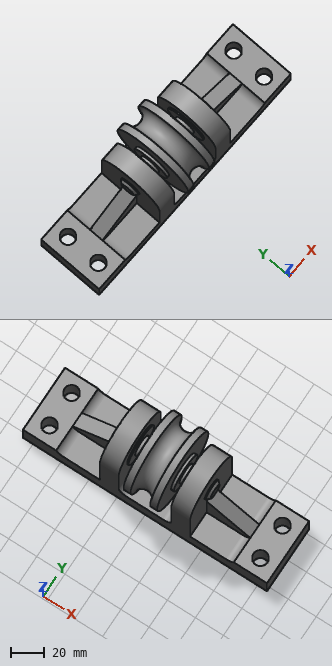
import cadquery as cq
import math

BASE_LENGTH = 174.0
BRACKET_WIDTH = 46.0
BASE_HEIGHT = 18.0
FLOOR_HEIGHT = 14.1
RECESS_HALF_LENGTH = 63.3
CORNER_RADIUS = 6.0

MOUNT_HOLE_DIAMETER = 10.0
MOUNT_HOLE_X = 75.2
MOUNT_HOLE_Y = 12.0

AXLE_HEIGHT = 50.0
CHEEK_INNER_X = 18.6
CHEEK_OUTER_X = 32.2
BOSS_DIAMETER = 28.0
BOSS_FACE_X = 17.5

RIB_WIDTH = 10.0
RIB_TOP_HEIGHT = 38.0

AXLE_DIAMETER = 14.0
AXLE_HALF_LENGTH = 35.0
AXLE_END_DIAMETER = 10.0
AXLE_CHAMFER = (AXLE_DIAMETER - AXLE_END_DIAMETER) / 2

WHEEL_DIAMETER = 56.0
WHEEL_HALF_WIDTH = 12.0
GROOVE_RADIUS = 7.0
HUB_DIAMETER = 26.0
HUB_HALF_WIDTH = 14.1

SIDES = (-1, 1)
SELECT_MARGIN = 0.2


def x_cylinder(diameter, x_start, x_end):
    """Cylinder on the axle line, from one X position to another."""
    return (
        cq.Workplane("YZ", origin=(x_start, 0, AXLE_HEIGHT))
        .circle(diameter / 2)
        .extrude(x_end - x_start)
    )


def make_cheek(side):
    """Round-topped upright with a thin boss on its inner face."""
    half_width = BRACKET_WIDTH / 2
    cheek = (
        cq.Workplane("YZ", origin=(side * CHEEK_INNER_X, 0, 0))
        .moveTo(-half_width, 0)
        .lineTo(half_width, 0)
        .lineTo(half_width, AXLE_HEIGHT)
        .threePointArc((0, AXLE_HEIGHT + half_width), (-half_width, AXLE_HEIGHT))
        .close()
        .extrude(side * (CHEEK_OUTER_X - CHEEK_INNER_X))
    )
    return cheek.union(x_cylinder(BOSS_DIAMETER, side * BOSS_FACE_X, side * CHEEK_OUTER_X))


def make_rib(side):
    """Sloping rib from the outer face of a cheek to the edge of the end recess."""
    return (
        cq.Workplane("XZ", origin=(0, RIB_WIDTH / 2, 0))
        .moveTo(side * CHEEK_OUTER_X, 0)
        .lineTo(side * CHEEK_OUTER_X, RIB_TOP_HEIGHT)
        .lineTo(side * RECESS_HALF_LENGTH, BASE_HEIGHT)
        .lineTo(side * RECESS_HALF_LENGTH, 0)
        .close()
        .extrude(RIB_WIDTH)
    )


def make_base():
    """Base plate with a sunken floor whose two ends curve up to the top face."""
    arc_center_z = FLOOR_HEIGHT + CORNER_RADIUS
    arc_length_x = math.sqrt(CORNER_RADIUS**2 - (arc_center_z - BASE_HEIGHT) ** 2)
    floor_half_length = RECESS_HALF_LENGTH - arc_length_x
    half_angle = math.asin(arc_length_x / CORNER_RADIUS) / 2
    arc_middle_x = floor_half_length + CORNER_RADIUS * math.sin(half_angle)
    arc_middle_z = arc_center_z - CORNER_RADIUS * math.cos(half_angle)

    recess = (
        cq.Workplane("XZ", origin=(0, BRACKET_WIDTH / 2, 0))
        .moveTo(-RECESS_HALF_LENGTH, BASE_HEIGHT)
        .threePointArc((-arc_middle_x, arc_middle_z), (-floor_half_length, FLOOR_HEIGHT))
        .lineTo(floor_half_length, FLOOR_HEIGHT)
        .threePointArc((arc_middle_x, arc_middle_z), (RECESS_HALF_LENGTH, BASE_HEIGHT))
        .close()
        .extrude(BRACKET_WIDTH)
    )
    plate = cq.Workplane("XY").box(
        BASE_LENGTH, BRACKET_WIDTH, BASE_HEIGHT, centered=(True, True, False)
    )
    return plate.cut(recess)


def make_bracket():
    """Base, cheeks and ribs as one body, bored for the axle and the mounting bolts."""
    bracket = make_base()
    for side in SIDES:
        bracket = bracket.union(make_cheek(side)).union(make_rib(side))

    inner_corners = cq.selectors.BoxSelector(
        (-CHEEK_INNER_X - SELECT_MARGIN, -BRACKET_WIDTH, FLOOR_HEIGHT - SELECT_MARGIN),
        (CHEEK_INNER_X + SELECT_MARGIN, BRACKET_WIDTH, FLOOR_HEIGHT + SELECT_MARGIN),
    )
    bracket = bracket.edges("|Y").edges(inner_corners).fillet(CORNER_RADIUS)

    mount_holes = (
        cq.Workplane("XY")
        .rect(2 * MOUNT_HOLE_X, 2 * MOUNT_HOLE_Y, forConstruction=True)
        .vertices()
        .circle(MOUNT_HOLE_DIAMETER / 2)
        .extrude(BASE_HEIGHT)
    )
    axle_bore = x_cylinder(AXLE_DIAMETER, -CHEEK_OUTER_X, CHEEK_OUTER_X)
    return bracket.cut(mount_holes).cut(axle_bore)


def make_axle():
    """Straight axle, chamfered at both ends."""
    axle = x_cylinder(AXLE_DIAMETER, -AXLE_HALF_LENGTH, AXLE_HALF_LENGTH)
    return axle.faces("<X or >X").chamfer(AXLE_CHAMFER)


def make_wheel():
    """Wheel with a half-round rim groove, a hub on each side and an axle bore."""
    rim = x_cylinder(WHEEL_DIAMETER, -WHEEL_HALF_WIDTH, WHEEL_HALF_WIDTH)
    hub = x_cylinder(HUB_DIAMETER, -HUB_HALF_WIDTH, HUB_HALF_WIDTH)
    bore = x_cylinder(AXLE_DIAMETER, -HUB_HALF_WIDTH, HUB_HALF_WIDTH)
    groove = cq.Workplane(
        cq.Solid.makeTorus(
            WHEEL_DIAMETER / 2, GROOVE_RADIUS, cq.Vector(0, 0, AXLE_HEIGHT), cq.Vector(1, 0, 0)
        )
    )
    return rim.union(hub).cut(groove).cut(bore)


bracket = make_bracket()
axle = make_axle()
wheel = make_wheel()

result = cq.Compound.makeCompound([bracket.val(), axle.val(), wheel.val()])